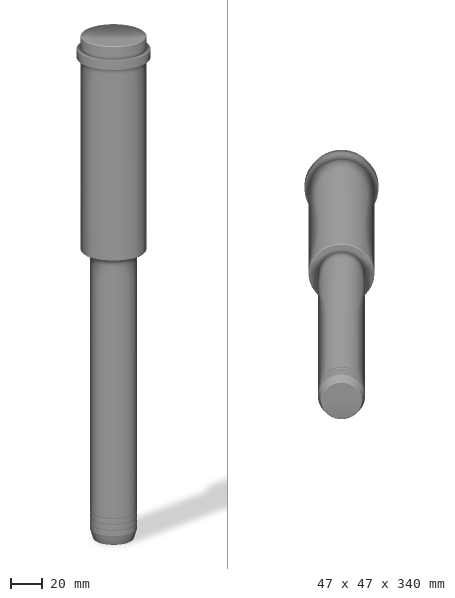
import cadquery as cq

total_length = 340.0
pin_radius = 15.0
pin_overlap = 3.5
sleeve_diameter = 41.8
sleeve_radius = sleeve_diameter / 2
sleeve_length = 145.2
sleeve_bottom = total_length - sleeve_length
sleeve_edge_chamfer = 0.5

collar_radius = 23.5
collar_height = 6.0
collar_top = total_length - 9.0
collar_bottom = collar_top - collar_height

relief_gap = 0.85
relief_depth = 0.5

taper_height = 6.8
tip_radius = 13.0
tip_edge_fillet = 0.7

groove_count = 3
groove_width = 1.0
groove_depth = 0.7
groove_pitch = 4.0
first_groove_bottom = taper_height + groove_pitch - groove_width


def cylinder(radius, bottom, top):
    """Cylinder on the part axis between two heights."""
    return cq.Workplane("XY").workplane(offset=bottom).circle(radius).extrude(top - bottom)


def make_pin():
    """Round pin with a conical tip and a rounded end edge."""
    profile = [
        (0, 0),
        (tip_radius, 0),
        (pin_radius, taper_height),
        (pin_radius, sleeve_bottom + pin_overlap),
        (0, sleeve_bottom + pin_overlap),
    ]
    pin = cq.Workplane("XZ").polyline(profile).close().revolve(360, (0, 0), (0, 1))
    return pin.faces("<Z").edges().fillet(tip_edge_fillet)


def cut_ring_groove(body, surface_radius, depth, bottom, top):
    """Cut a square-sided groove around a cylindrical surface."""
    cutter = cylinder(surface_radius + depth, bottom, top)
    core = cylinder(surface_radius - depth, bottom, top)
    return body.cut(cutter.cut(core))


pin = make_pin()
for index in range(groove_count):
    groove_bottom = first_groove_bottom + index * groove_pitch
    pin = cut_ring_groove(pin, pin_radius, groove_depth, groove_bottom, groove_bottom + groove_width)

sleeve = cylinder(sleeve_radius, sleeve_bottom, total_length)
sleeve = sleeve.edges().chamfer(sleeve_edge_chamfer)
relief_bottom = collar_bottom - relief_gap
relief_top = collar_top + relief_gap
sleeve = cut_ring_groove(sleeve, sleeve_radius, relief_depth, relief_bottom, relief_top)
collar = cylinder(collar_radius, collar_bottom, collar_top)

result = pin.union(sleeve).union(collar)